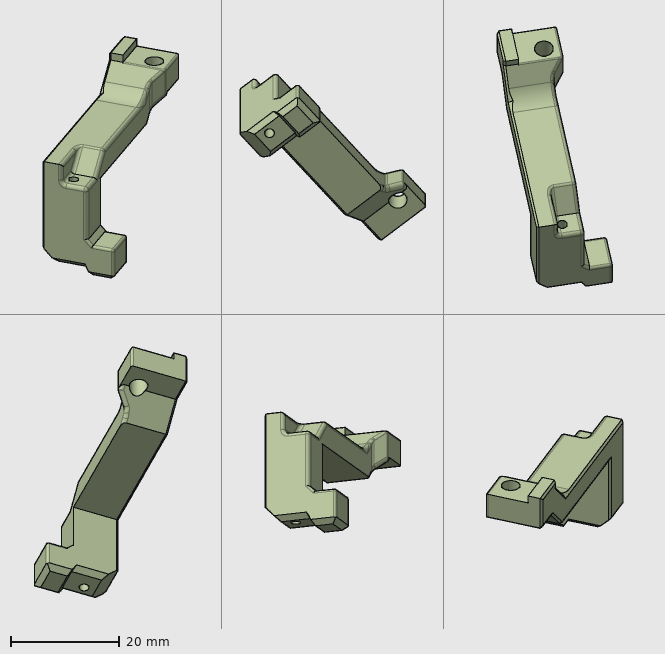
import cadquery as cq
length = 40.5
height = 28.5
body_width = 9.0

arm_top = 22.25
arm_bottom = 17.3
leg_depth = 6.6
leg_bottom = 1.5
head_front = 33.55
head_top = 27.0
head_bottom = 22.05
underside_bend = 30.65
top_bend_radius = 6.0

strip_width = 2.8
head_width = 11.2
flare_end = 33.78
flare_fillet = 0.8
head_fillet = 0.4
under_flare_fillet = 0.8
head_hole_diameter = 3.4
head_hole_x = 8.0
head_hole_y = 36.1

pocket_floor = 18.22
pocket_wall = 4.0
pocket_slope_start = 4.6
leg_hole_diameter = 1.8
leg_hole_x = 5.25
leg_hole_y = 2.6

foot_width = 14.25
foot_top = 6.5
foot_bottom_left = 9.8
foot_slant_run = 1.4
foot_slant_rise = 2.5
foot_web = 1.0
foot_fillet = 0.5

side_chamfer = 0.4
corner_chamfer = 3.0
bottom_chamfer = 1.0
edge_fillet = 0.73

slope_drop = head_top - arm_top
top_bend = head_front - slope_drop
flare_start = flare_end - (head_width - body_width)
pocket_slope_end = pocket_slope_start + arm_top - pocket_floor
underside_end = underside_bend + head_bottom - arm_bottom


def side_extrusion(points, x_start, x_end):
    """Extrude a (Y, Z) outline along X."""
    return cq.Workplane("YZ", origin=(x_start, 0, 0)).polyline(points).close().extrude(x_end - x_start)


def front_extrusion(points, y_end):
    """Extrude an (X, Z) outline from the front face towards the back."""
    return cq.Workplane("XZ").polyline(points).close().extrude(-y_end)


def edges_near(solid, points):
    """Select the edge closest to each of the given points."""
    picked = solid.edges(cq.selectors.NearestToPointSelector(points[0]))
    for point in points[1:]:
        picked = picked.add(solid.edges(cq.selectors.NearestToPointSelector(point)))
    return picked


def make_body():
    """Side profile with its left rim chamfered and the strip left standing on the head."""
    outline = [
        (0, leg_bottom),
        (leg_depth, leg_bottom),
        (leg_depth, arm_bottom),
        (underside_bend, arm_bottom),
        (underside_end, head_bottom),
        (length, head_bottom),
        (length, height),
        (head_front, height),
        (head_front, head_top),
        (top_bend, arm_top),
        (0, arm_top),
    ]
    body = side_extrusion(outline, 0, body_width).faces("<X").chamfer(side_chamfer)
    above_head = [(head_front, head_top), (length, head_top), (length, height), (head_front, height)]
    body = body.cut(side_extrusion(above_head, strip_width, body_width))
    return trim_leg_end(body)


def trim_leg_end(body):
    """Bevel the front, back and left edges of the leg's lower end."""
    for edge_y, inward in [(0, 1), (leg_depth, -1)]:
        bevel = [
            (edge_y, leg_bottom),
            (edge_y + inward * bottom_chamfer, leg_bottom),
            (edge_y, leg_bottom + bottom_chamfer),
        ]
        body = body.cut(side_extrusion(bevel, 0, body_width))
    left_corner = [(0, leg_bottom), (corner_chamfer, leg_bottom), (0, leg_bottom + corner_chamfer)]
    return body.cut(front_extrusion(left_corner, leg_depth))


def make_flare():
    """Right-hand widening of the head, running into the arm at 45 degrees."""
    outline = [
        (underside_bend, arm_bottom),
        (underside_end, head_bottom),
        (length, head_bottom),
        (length, head_top),
        (head_front, head_top),
        (top_bend, arm_top),
    ]
    plan = [
        (pocket_wall, flare_start),
        (body_width, flare_start),
        (head_width, flare_end),
        (head_width, length),
        (pocket_wall, length),
    ]
    plan_prism = cq.Workplane("XY").polyline(plan).close().extrude(height)
    return side_extrusion(outline, pocket_wall, head_width).intersect(plan_prism)


def make_foot():
    """Foot with a slanted left side, a sloped web up to the leg and a bevelled sole."""
    slant_top_x = foot_bottom_left - foot_slant_run
    outline = [
        (foot_bottom_left, 0),
        (foot_width, 0),
        (foot_width, foot_top),
        (body_width + foot_web, foot_top),
        (body_width, foot_top + foot_web),
        (slant_top_x, foot_top + foot_web),
        (slant_top_x, foot_slant_rise),
    ]
    foot = front_extrusion(outline, leg_depth)
    return foot.faces("<Z").edges("not <X").chamfer(bottom_chamfer)


def make_pocket():
    """Pocket volume: flat floor, 45 degree back slope and rounded corners along its left wall."""
    outline = [
        (0, pocket_floor),
        (pocket_slope_start, pocket_floor),
        (pocket_slope_end, arm_top),
        (0, arm_top),
    ]
    pocket = side_extrusion(outline, pocket_wall, body_width)
    wall_corners = [
        (pocket_wall, pocket_slope_start / 2, pocket_floor),
        (pocket_wall, pocket_slope_middle, pocket_middle),
    ]
    return edges_near(pocket, wall_corners).fillet(edge_fillet)


def make_hole(x, y, diameter):
    """Vertical through hole."""
    return cq.Workplane("XY").center(x, y).circle(diameter / 2).extrude(height)


pocket_slope_middle = (pocket_slope_start + pocket_slope_end) / 2
pocket_middle = (pocket_floor + arm_top) / 2
pocket_center_x = (pocket_wall + body_width) / 2
flare_x = (body_width + head_width) / 2
flare_y = (flare_start + flare_end) / 2
flare_corner_middle = flare_start + (arm_bottom - underside_bend + head_top - head_front) / 2
head_middle = (head_bottom + head_top) / 2
right_rim = [
    (flare_x, flare_y, flare_y - head_front + head_top),
    (body_width, (top_bend + flare_start) / 2, arm_top + (flare_start - top_bend) / 2),
    (body_width, (pocket_slope_end + top_bend) / 2, arm_top),
    (body_width, pocket_slope_middle, pocket_middle),
    (body_width, pocket_slope_start / 2, pocket_floor),
    (body_width, 0, (foot_top + pocket_floor) / 2),
]
pocket_rim = [
    (pocket_center_x, pocket_slope_end, arm_top),
    (pocket_wall, pocket_slope_start / 2, arm_top),
    (pocket_wall, 0, pocket_middle),
    (pocket_center_x, 0, pocket_floor),
]
under_flare = [
    (flare_x, flare_y, flare_y - underside_bend + arm_bottom),
    (head_width, (flare_end + underside_end) / 2, (flare_end + underside_end) / 2 - underside_bend + arm_bottom),
]
foot_center_x = (body_width + foot_web + foot_width) / 2
foot_front_rim = [
    (body_width + foot_web / 2, 0, foot_top + foot_web / 2),
    (foot_center_x, 0, foot_top),
]
foot_other_edges = [
    (foot_width, 0, foot_top / 2),
    (foot_width, leg_depth / 2, foot_top),
    (foot_width, leg_depth, foot_top / 2),
    (foot_center_x, leg_depth, foot_top),
]
head_edges = [
    (head_width, (flare_end + length) / 2, head_top),
    (flare_x, length, head_top),
    (head_width, length, head_middle),
]

result = make_body().union(make_flare()).union(make_foot()).cut(make_pocket())
result = edges_near(result, [(body_width, flare_start, flare_corner_middle)]).fillet(flare_fillet)
result = edges_near(result, right_rim + pocket_rim).fillet(edge_fillet)
result = edges_near(result, under_flare).fillet(under_flare_fillet)
result = edges_near(result, [(head_width, flare_end, head_middle)]).fillet(head_fillet)
result = edges_near(result, head_edges).fillet(head_fillet)
result = edges_near(result, foot_front_rim).fillet(foot_fillet)
result = edges_near(result, foot_other_edges).fillet(foot_fillet)
result = edges_near(result, [(body_width / 2, top_bend, arm_top)]).fillet(top_bend_radius)
result = result.cut(make_hole(head_hole_x, head_hole_y, head_hole_diameter))
result = result.cut(make_hole(leg_hole_x, leg_hole_y, leg_hole_diameter))